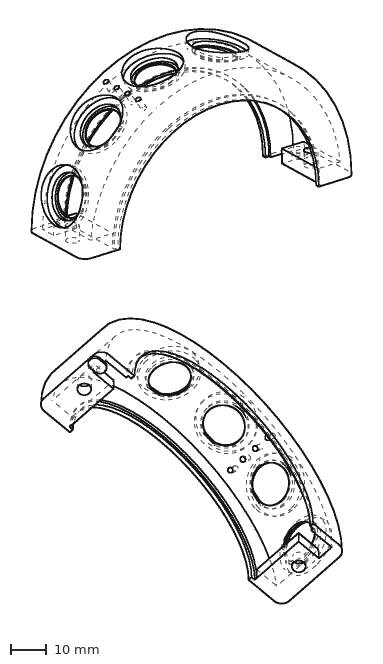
import cadquery as cq

width = 26.0
outer_radius = 48.0
inner_radius = 34.9
edge_fillet = 3.0

lip_thickness = 1.2
shelf_width = 0.8
rim_step = 1.2
roof_radius = 44.2
shelf_radius = inner_radius + rim_step
opening_width = width - 2 * lip_thickness
channel_width = opening_width - 2 * shelf_width

port_pitch = 27.8
first_port_angle = -11.1
port_count = 4
port_angles = [first_port_angle + i * port_pitch for i in range(port_count)]
recess_diameter = 17.8
recess_floor = 45.7
seat_diameter = 13.6
seat_floor = 44.4
seat_flat_offset = 6.2
bore_diameter = 12.0

indicator_diameter = 1.5
indicator_pitch = 5.0
indicator_count = 4
indicator_angle = (port_angles[1] + port_angles[2]) / 2

block_height = 4.6
block_start_x = -5.9
block_end_x = channel_width / 2
screw_diameter = 3.8
screw_y = 42.0

tab_width = 3.8
tab_length = 5.8
tab_height = 1.0
tab_x = -8.5

overshoot = 4.8


def disc(radius, length):
    """Cylinder around the X axis, centred on X = 0."""
    return cq.Workplane("YZ", origin=(-length / 2, 0, 0)).circle(radius).extrude(length)


def upper_half():
    """Box that covers everything above Z = 0."""
    size = 3 * outer_radius
    return cq.Workplane("XY").box(size, size, size, centered=(True, True, False))


def radial_cylinder(diameter, start_radius, x=0.0):
    """Cylinder along +Z from start_radius to beyond the outer surface."""
    height = outer_radius + overshoot - start_radius
    return cq.Workplane("XY", origin=(x, 0, start_radius)).circle(diameter / 2).extrude(height)


def swing(shape, angle):
    """Turn a shape about the ring axis from +Z towards -Y."""
    return shape.rotate((0, 0, 0), (1, 0, 0), angle)


def make_shell():
    ring = disc(outer_radius, width).edges().fillet(edge_fillet)
    ring = ring.cut(disc(inner_radius, width))
    ring = ring.cut(disc(shelf_radius, opening_width))
    ring = ring.cut(disc(roof_radius, channel_width))
    return ring.intersect(upper_half())


def make_port():
    """Recess, seat with a flat on its +X side, and through bore."""
    seat_reach = seat_diameter / 2 + seat_flat_offset
    seat_limit = cq.Workplane("XY").box(
        seat_reach, seat_diameter, outer_radius + overshoot, centered=(False, True, False)
    )
    seat_limit = seat_limit.translate((-seat_diameter / 2, 0, 0))
    seat = radial_cylinder(seat_diameter, seat_floor).intersect(seat_limit)
    bore = radial_cylinder(bore_diameter, inner_radius)
    return radial_cylinder(recess_diameter, recess_floor).union(seat).union(bore)


def make_block(side):
    """Screw block at the +Y end (side = 1) or the -Y end (side = -1)."""
    length = block_end_x - block_start_x
    block = cq.Workplane("XY").box(length, outer_radius, block_height, centered=(False, False, False))
    block = block.translate((block_start_x, shelf_radius, 0))
    block = block.intersect(disc((roof_radius + outer_radius) / 2, width))
    hole = cq.Workplane("XY").center(0, screw_y).circle(screw_diameter / 2).extrude(block_height)
    block = block.cut(hole)
    return block if side > 0 else block.mirror("XZ")


def make_tab():
    """Round-ended tab whose long side runs along Y, flush with the outer wall."""
    tab_y = outer_radius - tab_length / 2
    tab = cq.Workplane("XY", origin=(tab_x, tab_y, 0)).slot2D(tab_length, tab_width, 90)
    return tab.extrude(-tab_height)


result = make_shell()
for end_side in (1, -1):
    result = result.union(make_block(end_side))

for port_angle in port_angles:
    result = result.cut(swing(make_port(), port_angle))

for i in range(indicator_count):
    indicator_x = (i - (indicator_count - 1) / 2) * indicator_pitch
    indicator = radial_cylinder(indicator_diameter, inner_radius, indicator_x)
    result = result.cut(swing(indicator, indicator_angle))

result = result.union(make_tab())